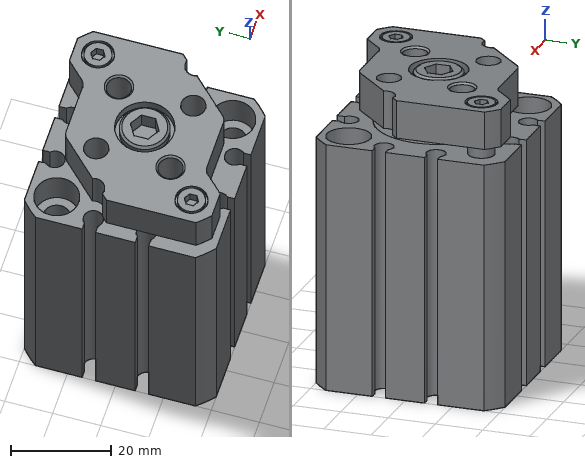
import cadquery as cq
import math

BODY_WIDTH = 40.0
TOTAL_HEIGHT = 63.5
PLATE_THICKNESS = 8.0
PLATE_GAP = 3.0
PLATE_BOTTOM = TOTAL_HEIGHT - PLATE_THICKNESS
BODY_HEIGHT = PLATE_BOTTOM - PLATE_GAP
CORNER_RADIUS = 26.05

SLOT_OFFSET = 5.5
SLOT_NECK = 2.8
SLOT_ROUND_DIAMETER = 4.0
SLOT_ROUND_DEPTH = 3.0
SLOT_ROUND_POSITION = BODY_WIDTH / 2 - SLOT_ROUND_DEPTH
CORNER_OFFSET = 14.05
MOUNT_HOLE_DIAMETER = 5.45
MOUNT_BORE_DIAMETER = 9.15
MOUNT_BORE_DEPTH = 7.0
RECESS_DIAMETER = 26.15
RECESS_DEPTH = 0.3

PLATE_HALF_WIDTH = 19.05
PLATE_CORNER_RADIUS = 25.2
PLATE_WAIST = 14.7
WAIST_CORNER = 6.55
WAIST_FILLET = 2.4
NOTCH_DIAMETER = 4.6
NOTCH_LEAD_IN = 2.5

PLATE_HOLE_OFFSET = 7.75
PLATE_HOLE_DIAMETER = 5.0
PLATE_HOLE_MOUTH = 5.85

GUIDE_ROD_DIAMETER = 5.45
PISTON_ROD_DIAMETER = 12.0
PISTON_HEAD_DIAMETER = 10.15
PISTON_HEAD_CHAMFER = 0.5
PISTON_GROOVE_DEPTH = 1.9
PISTON_HEX_FLATS = 5.15
PISTON_HEX_DEPTH = 3.5
SCREW_BORE_DIAMETER = 6.55
SCREW_HEAD_DIAMETER = 5.65
SCREW_GROOVE_DEPTH = 0.65
SCREW_HEX_FLATS = 2.55
SCREW_HEX_DEPTH = 1.9


def cylinder(diameter, bottom, top, x=0.0, y=0.0):
    """Upright cylinder between two heights."""
    return cq.Workplane("XY").workplane(offset=bottom).center(x, y).circle(diameter / 2).extrude(top - bottom)


def keyhole_slot(offset):
    """Full-height sensor slot in the +X face: a narrow neck and a round bottom."""
    neck = (
        cq.Workplane("XY")
        .center(SLOT_ROUND_POSITION + SLOT_ROUND_DEPTH / 2, offset)
        .rect(SLOT_ROUND_DEPTH, SLOT_NECK)
        .extrude(BODY_HEIGHT)
    )
    return neck.union(cylinder(SLOT_ROUND_DIAMETER, 0, BODY_HEIGHT, SLOT_ROUND_POSITION, offset))


def make_housing():
    housing = cq.Workplane("XY").rect(BODY_WIDTH, BODY_WIDTH).extrude(BODY_HEIGHT)
    housing = housing.intersect(cylinder(2 * CORNER_RADIUS, 0, BODY_HEIGHT))

    for angle in (0, 90, 180, 270):
        for offset in (-SLOT_OFFSET, SLOT_OFFSET):
            housing = housing.cut(keyhole_slot(offset).rotate((0, 0, 0), (0, 0, 1), angle))

    for side in (-1, 1):
        x, y = side * CORNER_OFFSET, -side * CORNER_OFFSET
        housing = housing.cut(cylinder(MOUNT_HOLE_DIAMETER, 0, BODY_HEIGHT, x, y))
        housing = housing.cut(
            cylinder(MOUNT_BORE_DIAMETER, BODY_HEIGHT - MOUNT_BORE_DEPTH, BODY_HEIGHT, x, y)
        )

    return housing.cut(cylinder(RECESS_DIAMETER, BODY_HEIGHT - RECESS_DEPTH, BODY_HEIGHT))


def plate_blank():
    """Plate outline, the same after half a turn about Z."""
    half = PLATE_HALF_WIDTH
    waist = PLATE_WAIST
    diagonal_run = half - waist
    corner = WAIST_CORNER + diagonal_run
    diagonal_end = waist + WAIST_CORNER - half
    half_outline = [
        (-half, -half),
        (-corner, -half),
        (-WAIST_CORNER, -waist),
        (WAIST_CORNER, -waist),
        (half, -diagonal_end),
    ]
    outline = half_outline + [(-x, -y) for x, y in half_outline]
    blank = (
        cq.Workplane("XY")
        .workplane(offset=PLATE_BOTTOM)
        .polyline(outline)
        .close()
        .extrude(PLATE_THICKNESS)
    )

    reach_x = (half + WAIST_CORNER) / 2
    reach_y = (half + waist) / 2
    waist_edges = cq.selectors.BoxSelector((-reach_x, -reach_y, 0), (reach_x, reach_y, TOTAL_HEIGHT))
    blank = blank.edges("|Z").edges(waist_edges).fillet(WAIST_FILLET)
    return blank.intersect(cylinder(2 * PLATE_CORNER_RADIUS, PLATE_BOTTOM, TOTAL_HEIGHT))


def slot_notch():
    """Clearance in the +X side over one housing slot, with a 45 degree lead-in."""
    notch = cylinder(NOTCH_DIAMETER, PLATE_BOTTOM, TOTAL_HEIGHT, SLOT_ROUND_POSITION, -SLOT_OFFSET)
    run = PLATE_HALF_WIDTH - SLOT_ROUND_POSITION
    opening = (
        cq.Workplane("XY")
        .workplane(offset=PLATE_BOTTOM)
        .polyline(
            [
                (SLOT_ROUND_POSITION, -SLOT_OFFSET),
                (SLOT_ROUND_POSITION, -NOTCH_LEAD_IN - run),
                (PLATE_HALF_WIDTH, -NOTCH_LEAD_IN),
                (PLATE_HALF_WIDTH, -SLOT_OFFSET),
            ]
        )
        .close()
        .extrude(PLATE_THICKNESS)
    )
    return notch.union(opening)


def hex_socket(flats, depth, x=0.0, y=0.0):
    """Hexagonal socket in the top face, with two points along Y."""
    corner_diameter = flats / math.cos(math.pi / 6)
    socket = cq.Workplane("XY").polygon(6, corner_diameter).extrude(depth)
    return socket.rotate((0, 0, 0), (0, 0, 1), 90).translate((x, y, TOTAL_HEIGHT - depth))


def ring_groove(outer, inner, depth, x=0.0, y=0.0):
    """Annular groove in the top face."""
    floor = TOTAL_HEIGHT - depth
    return cylinder(outer, floor, TOTAL_HEIGHT, x, y).cut(cylinder(inner, floor, TOTAL_HEIGHT, x, y))


def plate_hole(x, y, countersunk):
    hole = cylinder(PLATE_HOLE_DIAMETER, PLATE_BOTTOM, TOTAL_HEIGHT, x, y)
    if countersunk:
        sink = (PLATE_HOLE_MOUTH - PLATE_HOLE_DIAMETER) / 2
        cone = cq.Solid.makeCone(
            PLATE_HOLE_DIAMETER / 2, PLATE_HOLE_MOUTH / 2, sink, pnt=cq.Vector(x, y, TOTAL_HEIGHT - sink)
        )
        hole = hole.union(cq.Workplane(cone))
    return hole


def make_moving_plate():
    plate = plate_blank()
    for angle in (0, 180):
        plate = plate.cut(slot_notch().rotate((0, 0, 0), (0, 0, 1), angle))

    for x_side in (-1, 1):
        for y_side in (-1, 1):
            x, y = x_side * PLATE_HOLE_OFFSET, y_side * PLATE_HOLE_OFFSET
            plate = plate.cut(plate_hole(x, y, countersunk=x_side == y_side))

    plate = plate.union(cylinder(PISTON_ROD_DIAMETER, BODY_HEIGHT - RECESS_DEPTH, PLATE_BOTTOM))
    head = cylinder(PISTON_HEAD_DIAMETER, TOTAL_HEIGHT - PISTON_GROOVE_DEPTH, TOTAL_HEIGHT)
    head = head.faces(">Z").chamfer(PISTON_HEAD_CHAMFER)
    groove = cylinder(PISTON_ROD_DIAMETER, TOTAL_HEIGHT - PISTON_GROOVE_DEPTH, TOTAL_HEIGHT).cut(head)
    plate = plate.cut(groove).cut(hex_socket(PISTON_HEX_FLATS, PISTON_HEX_DEPTH))

    for side in (-1, 1):
        place = side * CORNER_OFFSET
        plate = plate.union(cylinder(GUIDE_ROD_DIAMETER, BODY_HEIGHT, PLATE_BOTTOM, place, place))
        plate = plate.cut(
            ring_groove(SCREW_BORE_DIAMETER, SCREW_HEAD_DIAMETER, SCREW_GROOVE_DEPTH, place, place)
        )
        plate = plate.cut(hex_socket(SCREW_HEX_FLATS, SCREW_HEX_DEPTH, place, place))
    return plate


housing = make_housing()
moving_plate = make_moving_plate()

result = cq.Compound.makeCompound([housing.val(), moving_plate.val()])